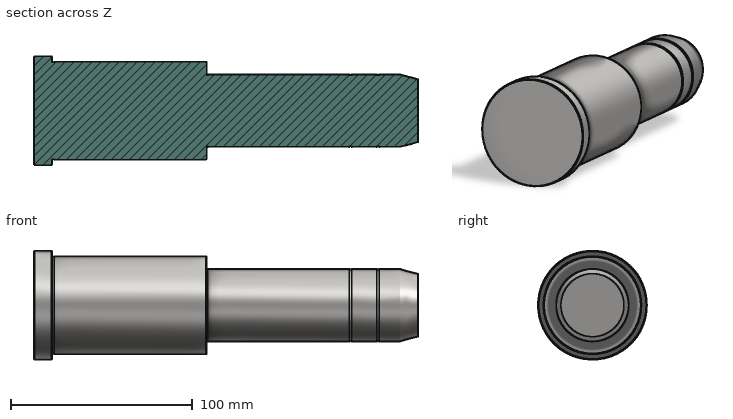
import cadquery as cq
import math

total_length = 211.0
head_length = 10.0
body_end = 95.0
tip_length = 10.0
tip_start = total_length - tip_length

head_radius = 60.0 / 2
body_radius = 54.0 / 2
shaft_radius = 40.0 / 2

tip_half_angle = math.radians(15)
tip_radius = shaft_radius - tip_length * math.tan(tip_half_angle)

edge_chamfer = 0.5

head_relief_width = 1.0
shaft_relief_width = 0.5
relief_depth = 0.25

first_groove_start = 173.2
groove_pitch = 15.0
groove_count = 2
groove_width = 1.5
groove_depth = 0.25


def relief_points(start, width, radius):
    """Profile of a relief that begins at a shoulder and steps up to the radius."""
    end = start + width
    floor = radius - relief_depth
    return [(start, floor), (end, floor), (end, radius)]


def groove_points(start):
    """Profile of one square ring groove in the shaft surface."""
    end = start + groove_width
    floor = shaft_radius - groove_depth
    return [(start, shaft_radius), (start, floor), (end, floor), (end, shaft_radius)]


def head_points():
    """Half profile of the head, from the axis to its rear shoulder."""
    return [
        (0, 0),
        (0, head_radius - edge_chamfer),
        (edge_chamfer, head_radius),
        (head_length - edge_chamfer, head_radius),
        (head_length, head_radius - edge_chamfer),
    ]


def body_points():
    """Half profile of the thick body, from the head shoulder to its front rim."""
    return relief_points(head_length, head_relief_width, body_radius) + [
        (body_end - edge_chamfer, body_radius),
        (body_end, body_radius - edge_chamfer),
    ]


def shaft_points():
    """Half profile of the grooved shaft and its conical tip, back to the axis."""
    points = relief_points(body_end, shaft_relief_width, shaft_radius)
    for index in range(groove_count):
        points += groove_points(first_groove_start + index * groove_pitch)
    return points + [
        (tip_start, shaft_radius),
        (total_length, tip_radius),
        (total_length, 0),
    ]


half_profile = head_points() + body_points() + shaft_points()
result = cq.Workplane("XY").polyline(half_profile).close().revolve(360, (0, 0, 0), (1, 0, 0))